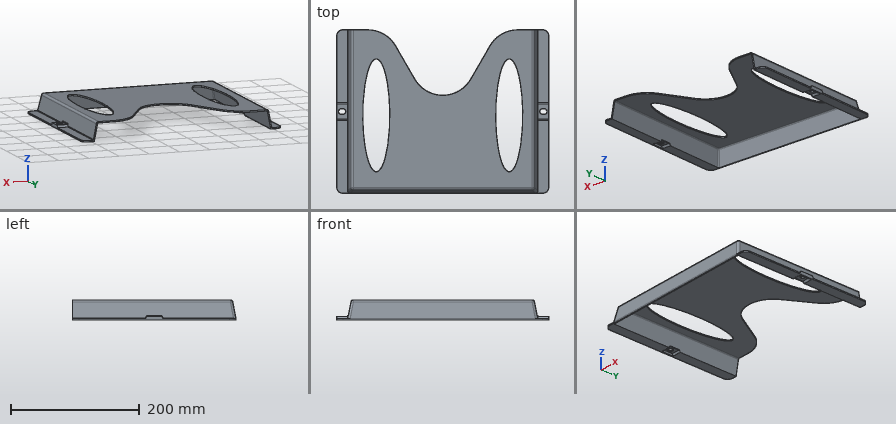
import cadquery as cq
import math

length = 329.5
depth = 254.0
height = 31.3
front = -depth / 2
back = depth / 2

flange_thickness = 2.3
flange_width = 17.0
flange_corner_radius = 10.0

draft = math.tan(math.radians(11.0))
wall = 2.3
shell_radius = 4.0
shell_half_length = length / 2 - flange_width
overrun = 3.3

opening_x = 103.0
opening_y = -6.0
opening_half_width = 20.8
opening_half_length = 87.3

notch_bottom = 25.5
notch_radius = 50.0
notch_angle = math.radians(60.0)

pad_rise = 3.5
pad_base_width = 27.7
pad_top_width = 23.0
pad_rim = 2.5
root_step = 1.3
slot_length = 11.0
slot_width = 8.2


def make_shell_form(inset, bottom, end, edge_radius):
    """Solid with drafted side and front faces, offset inward by the inset."""
    top = height - inset
    low_shift = (bottom - flange_thickness) * draft + inset
    high_shift = (top - flange_thickness) * draft + inset
    low_x = shell_half_length - low_shift
    high_x = shell_half_length - high_shift
    sides = (
        cq.Workplane("XZ", origin=(0, end, 0))
        .polyline([(-low_x, bottom), (low_x, bottom), (high_x, top), (-high_x, top)])
        .close()
        .extrude(end - front + overrun)
    )
    ends = (
        cq.Workplane("YZ")
        .polyline([(front + low_shift, bottom), (end, bottom), (end, top), (front + high_shift, top)])
        .close()
        .extrude(length / 2, both=True)
    )
    form = sides.intersect(ends)
    return form.edges("(>Z or <Y or (not #Z)) and (not >Y) and (not <Z)").fillet(edge_radius)


def make_flange():
    return (
        cq.Workplane("XY")
        .rect(length, depth)
        .extrude(flange_thickness)
        .edges("|Z")
        .fillet(flange_corner_radius)
    )


def make_pad_block(side, outer_x, inner_x, base_z, inset):
    """Block with the pad's sloping ends, narrowed by the inset at each end."""
    base_half = pad_base_width / 2 - inset
    top_half = pad_top_width / 2 - inset
    top_z = base_z + pad_rise
    return (
        cq.Workplane("YZ", origin=(side * outer_x, 0, 0))
        .polyline([(-base_half, base_z), (base_half, base_z), (top_half, top_z), (-top_half, top_z)])
        .close()
        .extrude(-side * (outer_x - inner_x))
    )


def make_pad(side):
    """Raised pad running from the flange edge into the side wall."""
    return make_pad_block(side, length / 2, shell_half_length - wall, flange_thickness, 0)


def make_pad_recess(side):
    """Recess under the pad, open at the bottom and toward the cavity."""
    return make_pad_block(side, length / 2 - pad_rim, shell_half_length - wall, 0, pad_rim)


def make_root_step(side):
    """Low upright step along the side wall, rising over the pad."""
    step_top = flange_thickness + root_step
    run = depth - shell_radius
    strip = (
        cq.Workplane("XY")
        .box(wall, run, step_top, centered=(True, False, False))
        .translate((side * (shell_half_length - wall / 2), back - run, 0))
    )
    over_pad = make_pad_block(side, shell_half_length, shell_half_length - wall, step_top, 0)
    return strip.union(over_pad)


def make_notch():
    """V-shaped notch with a round bottom and rounded shoulders at the back edge."""
    half_angle = notch_angle / 2
    tangent_x = notch_radius * math.sin(notch_angle)
    arc_rise = notch_radius * (1 - math.cos(notch_angle))
    low_y = notch_bottom + arc_rise
    high_y = back - arc_rise
    high_x = tangent_x + (high_y - low_y) / math.tan(notch_angle)
    shoulder_x = high_x + tangent_x
    mid_x = shoulder_x - notch_radius * math.sin(half_angle)
    mid_y = back - notch_radius * (1 - math.cos(half_angle))
    return (
        cq.Workplane("XY", origin=(0, 0, height / 2))
        .moveTo(-shoulder_x, back)
        .threePointArc((-mid_x, mid_y), (-high_x, high_y))
        .lineTo(-tangent_x, low_y)
        .threePointArc((0, notch_bottom), (tangent_x, low_y))
        .lineTo(high_x, high_y)
        .threePointArc((mid_x, mid_y), (shoulder_x, back))
        .close()
        .extrude(height)
    )


def make_hand_openings():
    return (
        cq.Workplane("XY", origin=(0, 0, height / 2))
        .pushPoints([(-opening_x, opening_y), (opening_x, opening_y)])
        .ellipse(opening_half_width, opening_half_length)
        .extrude(height)
    )


def make_mounting_slots():
    slot_x = (length - flange_width) / 2
    return (
        cq.Workplane("XY")
        .pushPoints([(-slot_x, 0), (slot_x, 0)])
        .slot2D(slot_length, slot_width)
        .extrude(height / 2)
    )


body = make_flange().union(make_shell_form(0, flange_thickness, back, shell_radius))
for side in (-1, 1):
    body = body.union(make_pad(side)).union(make_root_step(side))

cavity = make_shell_form(wall, -overrun, back + overrun, shell_radius - wall)

body = body.cut(cavity)
for side in (-1, 1):
    body = body.cut(make_pad_recess(side))

result = (
    body.cut(make_notch())
    .cut(make_hand_openings())
    .cut(make_mounting_slots())
)